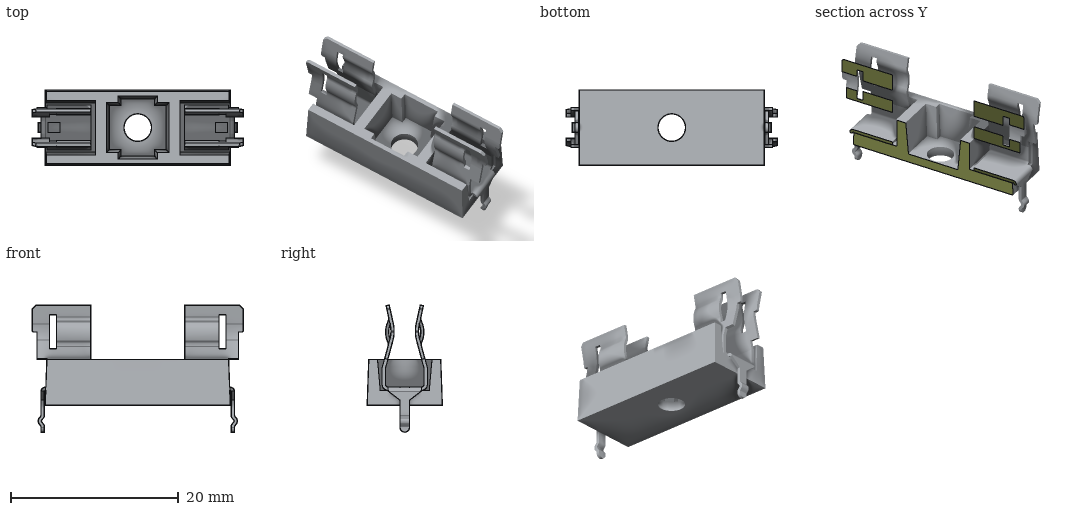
import cadquery as cq
import math


HOUSING_LENGTH = 22.1
HOUSING_WIDTH = 9.0
HOUSING_HEIGHT = 5.5
OUTER_DRAFT = 2.0
POCKET_DRAFT = 5.0

SEAT_FLOOR = 1.8
SEAT_TOP_HALF_WIDTH = 3.25
SEAT_INNER_X = 5.07

CENTRE_DEPTH = 4.28
CENTRE_HALF_LENGTH = 3.75
CENTRE_HALF_WIDTH = 3.75
NOTCH_HALF_LENGTH = 2.35
NOTCH_HALF_WIDTH = 3.0
MOUNTING_HOLE_DIAMETER = 3.25

SHEET = 0.4
CLIP_OUTER_X = 12.6
CLIP_INNER_X = 5.6

WALL_OUTER_Y = 2.7
WALL_KNEE_Z = 4.49
WALL_CORNER_RADIUS = 0.5
PINCH_Y = 1.34
PINCH_Z = 8.75
PINCH_RADIUS = 4.13
TIP_Y = 2.05
TIP_Z = 11.95

CRADLE_LOW_Z = 7.3
CRADLE_HIGH_Z = 10.28
CRADLE_APEX_Y = 2.32
CRADLE_APEX_Z = 8.82
CRADLE_RADIUS = 2.7
CRADLE_BLEND_RADIUS = 1.0

SLOT_OUTER_X = 10.5
SLOT_INNER_X = 9.7
SLOT_LOW_Z = 6.78
SLOT_HIGH_Z = 10.79

LIP_CHAMFER = 0.48
LIP_CORNER_RADIUS = 0.2
ARM_OUTER_X = 12.02
WALL_OUTER_X = 10.84
ARM_LOW_Z = 5.55

TAIL_X = 11.35
TAIL_BEND_RADIUS = 0.35
TAIL_HALF_WIDTH = 0.58
TAIL_END_Z = -3.2
KINK_Z = -1.86
KINK_OFFSET = 0.45
KINK_HALF_HEIGHT = 0.55
KINK_END_RADIUS = 0.33
KINK_RADIUS = 0.38
STRIP_HALF_WIDTH = 2.0
TAPER_TOP_Z = 1.71
TAPER_LOW_Z = 0.63

POST_INNER_X = 9.25
POST_OUTER_X = 10.7
POST_WIDTH = 1.15

FLOOR_TOP = SEAT_FLOOR + SHEET
FLOOR_MID = SEAT_FLOOR + SHEET / 2
WALL_MID_Y = WALL_OUTER_Y - SHEET / 2
LEAN_IN = (WALL_MID_Y - PINCH_Y) / (PINCH_Z - WALL_KNEE_Z)
FLARE_OUT = (TIP_Y - PINCH_Y) / (TIP_Z - PINCH_Z)
LIP_TOP = TIP_Z + SHEET / 2 * math.sin(math.atan(FLARE_OUT))
SLOT_MID_X = (SLOT_OUTER_X + SLOT_INNER_X) / 2
REACH = HOUSING_WIDTH


def box(x_range, y_range, z_range):
    """Axis-aligned block given by its limits."""
    corner = cq.Vector(x_range[0], y_range[0], z_range[0])
    size = (x_range[1] - x_range[0], y_range[1] - y_range[0], z_range[1] - z_range[0])
    return cq.Workplane(obj=cq.Solid.makeBox(*size, corner))


def mirrored_pair(body, plane):
    """A body joined with its mirror image."""
    return body.union(body.mirror(plane))


def unit(start, end):
    """Unit direction from one 2D point to another."""
    length = math.dist(start, end)
    return ((end[0] - start[0]) / length, (end[1] - start[1]) / length)


def sheet_side(path, offset):
    """One face of a bent sheet: straight runs and bends, offset to the left of the path.

    The path is a list of (u, v, bend radius) on the mid-surface. Each step returned is the
    list of points of one corner: a single point, or the start, middle and end of an arc.
    """
    points = [(u, v) for u, v, _ in path]
    ways = [unit(a, b) for a, b in zip(points, points[1:])]
    ways = [ways[0]] + ways + [ways[-1]]
    steps = []
    for (u, v, radius), before, after in zip(path, ways, ways[1:]):
        turn = math.atan2(before[0] * after[1] - before[1] * after[0],
                          before[0] * after[0] + before[1] * after[1])
        half = abs(turn) / 2
        bisector = math.atan2(before[1] + after[1], before[0] + after[0]) + math.pi / 2
        normal = (math.cos(bisector), math.sin(bisector))
        miter = offset / math.cos(half)
        corner = (u + normal[0] * miter, v + normal[1] * miter)
        if radius == 0:
            steps.append([corner])
            continue
        inward = math.copysign(1, turn)
        side_radius = radius - inward * offset
        setback = side_radius * math.tan(half)
        sagitta = inward * side_radius * (1 / math.cos(half) - 1)
        steps.append([
            (corner[0] - before[0] * setback, corner[1] - before[1] * setback),
            (corner[0] + normal[0] * sagitta, corner[1] + normal[1] * sagitta),
            (corner[0] + after[0] * setback, corner[1] + after[1] * setback),
        ])
    return steps


def bent_sheet(plane, path):
    """Closed outline of a sheet that follows a path of rounded corners."""
    left = sheet_side(path, SHEET / 2)
    right = [step[::-1] for step in reversed(sheet_side(path, -SHEET / 2))]
    outline = plane.moveTo(*left[0][0])
    for step in left[1:] + right:
        outline = outline.lineTo(*step[0])
        if len(step) == 3:
            outline = outline.threePointArc(step[1], step[2])
    return outline.close()


def housing_block():
    """Solid block whose four walls lean inward towards the top."""
    base = cq.Workplane("XY").rect(HOUSING_LENGTH, HOUSING_WIDTH)
    return base.extrude(HOUSING_HEIGHT, taper=OUTER_DRAFT)


def clip_seat():
    """Open-ended channel for the clip at the -X end, less the post left on its floor."""
    depth = HOUSING_HEIGHT - SEAT_FLOOR
    floor_half = SEAT_TOP_HALF_WIDTH - depth * math.tan(math.radians(POCKET_DRAFT))
    channel = (
        cq.Workplane("YZ", origin=(-SEAT_INNER_X, 0, 0))
        .polyline([
            (-floor_half, SEAT_FLOOR),
            (floor_half, SEAT_FLOOR),
            (SEAT_TOP_HALF_WIDTH, HOUSING_HEIGHT),
            (-SEAT_TOP_HALF_WIDTH, HOUSING_HEIGHT),
        ])
        .close()
        .extrude(SEAT_INNER_X - HOUSING_LENGTH / 2)
    )
    return channel.cut(locating_post())


def locating_post():
    """Square post, flush with the top of the clip floor."""
    half = POST_WIDTH / 2
    return box((-POST_OUTER_X, -POST_INNER_X), (-half, half), (SEAT_FLOOR, FLOOR_TOP))


def tapered_recess(half_length, half_width):
    """Rectangular recess sunk from the top face, narrowing downward."""
    mouth = cq.Workplane("XY", origin=(0, 0, HOUSING_HEIGHT)).rect(2 * half_length, 2 * half_width)
    return mouth.extrude(-CENTRE_DEPTH, taper=POCKET_DRAFT)


def centre_pocket():
    """Cross-shaped pocket, narrowing downward."""
    lengthwise = tapered_recess(CENTRE_HALF_LENGTH, NOTCH_HALF_WIDTH)
    crosswise = tapered_recess(NOTCH_HALF_LENGTH, CENTRE_HALF_WIDTH)
    return lengthwise.union(crosswise)


def build_housing():
    hole = cq.Workplane("XY").circle(MOUNTING_HOLE_DIAMETER / 2).extrude(HOUSING_HEIGHT)
    seat = clip_seat()
    body = housing_block().cut(centre_pocket()).cut(hole)
    return body.cut(seat).cut(seat.mirror("YZ"))


def spring_wall(start_x, end_x, middle):
    """U-shaped stretch of the clip; `middle` holds the corners between knee and lip."""
    path = [
        (0, FLOOR_MID, 0),
        (WALL_MID_Y, FLOOR_MID, WALL_CORNER_RADIUS),
        (WALL_MID_Y, WALL_KNEE_Z, 0),
        *middle,
        (TIP_Y, TIP_Z, 0),
    ]
    plane = cq.Workplane("YZ", origin=(start_x, 0, 0))
    return mirrored_pair(bent_sheet(plane, path).extrude(end_x - start_x), "XZ")


def arm_stretch():
    """Outer stretch, with plain arms that pinch together once."""
    return spring_wall(-CLIP_OUTER_X, -SLOT_MID_X, [(PINCH_Y, PINCH_Z, PINCH_RADIUS)])


def cradle_stretch():
    """Inner stretch, with arms bulged outward around the fuse cap."""
    low_y = WALL_MID_Y - LEAN_IN * (CRADLE_LOW_Z - WALL_KNEE_Z)
    high_y = PINCH_Y + FLARE_OUT * (CRADLE_HIGH_Z - PINCH_Z)
    return spring_wall(-SLOT_MID_X, -CLIP_INNER_X, [
        (low_y, CRADLE_LOW_Z, CRADLE_BLEND_RADIUS),
        (CRADLE_APEX_Y, CRADLE_APEX_Z, CRADLE_RADIUS),
        (high_y, CRADLE_HIGH_Z, CRADLE_BLEND_RADIUS),
    ])


def side_outline():
    """Side silhouette of the arms: chamfered lip above a shorter arm."""
    arc_inset = LIP_CORNER_RADIUS * (1 - math.sqrt(0.5))
    return (
        cq.Workplane("XZ", origin=(0, REACH, 0))
        .moveTo(-CLIP_INNER_X, 0)
        .lineTo(-CLIP_INNER_X, LIP_TOP)
        .lineTo(-CLIP_OUTER_X + LIP_CHAMFER, LIP_TOP)
        .lineTo(-CLIP_OUTER_X, LIP_TOP - LIP_CHAMFER)
        .lineTo(-CLIP_OUTER_X, PINCH_Z + LIP_CORNER_RADIUS)
        .threePointArc(
            (-CLIP_OUTER_X + arc_inset, PINCH_Z + arc_inset),
            (-CLIP_OUTER_X + LIP_CORNER_RADIUS, PINCH_Z),
        )
        .lineTo(-ARM_OUTER_X, PINCH_Z)
        .lineTo(-ARM_OUTER_X, 0)
        .close()
        .extrude(2 * REACH)
    )


def wall_relief():
    """Cutter that shortens the walls below the arms, square to the leaning sheet."""
    arm_y = WALL_MID_Y - LEAN_IN * (ARM_LOW_Z - WALL_KNEE_Z)
    centre_z = ARM_LOW_Z - LEAN_IN * arm_y
    edge_z = centre_z + LEAN_IN * REACH
    return (
        cq.Workplane("YZ", origin=(-WALL_OUTER_X, 0, 0))
        .polyline([(-REACH, 0), (REACH, 0), (REACH, edge_z), (0, centre_z), (-REACH, edge_z)])
        .close()
        .extrude(WALL_OUTER_X - CLIP_OUTER_X)
    )


def solder_tail():
    """Floor strip bent down into a tapered, kinked and round-ended tail."""
    bent = bent_sheet(
        cq.Workplane("XZ", origin=(0, STRIP_HALF_WIDTH, 0)),
        [
            (-POST_OUTER_X, FLOOR_MID, 0),
            (-TAIL_X, FLOOR_MID, TAIL_BEND_RADIUS),
            (-TAIL_X, KINK_Z + KINK_HALF_HEIGHT, KINK_END_RADIUS),
            (-TAIL_X - KINK_OFFSET, KINK_Z, KINK_RADIUS),
            (-TAIL_X, KINK_Z - KINK_HALF_HEIGHT, KINK_END_RADIUS),
            (-TAIL_X, TAIL_END_Z, 0),
        ],
    ).extrude(2 * STRIP_HALF_WIDTH)
    tip_start = TAIL_END_Z + TAIL_HALF_WIDTH
    width_outline = (
        cq.Workplane("YZ")
        .moveTo(STRIP_HALF_WIDTH, FLOOR_TOP)
        .lineTo(STRIP_HALF_WIDTH, TAPER_TOP_Z)
        .lineTo(TAIL_HALF_WIDTH, TAPER_LOW_Z)
        .lineTo(TAIL_HALF_WIDTH, tip_start)
        .threePointArc((0, TAIL_END_Z), (-TAIL_HALF_WIDTH, tip_start))
        .lineTo(-TAIL_HALF_WIDTH, TAPER_LOW_Z)
        .lineTo(-STRIP_HALF_WIDTH, TAPER_TOP_Z)
        .lineTo(-STRIP_HALF_WIDTH, FLOOR_TOP)
        .close()
        .extrude(-CLIP_OUTER_X)
    )
    return bent.intersect(width_outline)


def build_clip():
    slot = box((-SLOT_OUTER_X, -SLOT_INNER_X), (-REACH, REACH), (SLOT_LOW_Z, SLOT_HIGH_Z))
    spring = arm_stretch().union(cradle_stretch())
    spring = spring.intersect(side_outline()).cut(slot).cut(wall_relief())
    return spring.union(solder_tail()).cut(locating_post())


housing = build_housing().solids()
clips = []
for turn in (0, 180):
    clips.append(build_clip().rotate((0, 0, 0), (0, 0, 1), turn).solids())

result = cq.Compound.makeCompound([housing.val(), *[clip.val() for clip in clips]])